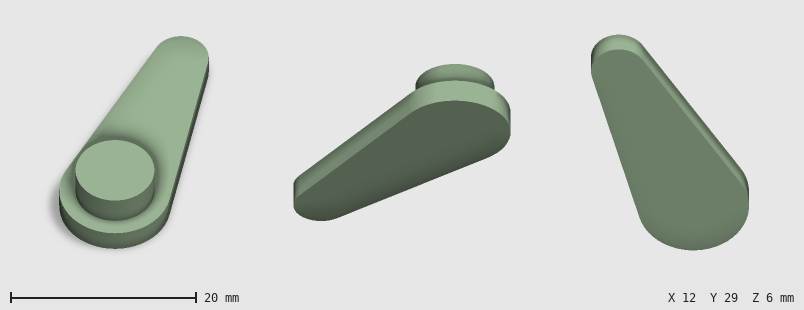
import cadquery as cq
import math

total_length = 29.0
hub_diameter = 12.0
tip_diameter = 6.0
plate_thickness = 2.6
boss_diameter = 8.5
total_height = 6.0

hub_radius = hub_diameter / 2
tip_radius = tip_diameter / 2
centre_distance = total_length - hub_radius - tip_radius
boss_height = total_height - plate_thickness

flank_angle = math.asin((hub_radius - tip_radius) / centre_distance)


def flank_point(radius, centre_y, side):
    """Tangent point of a flank on a round end; side is +1 (right) or -1 (left)."""
    x = side * radius * math.cos(flank_angle)
    y = centre_y + radius * math.sin(flank_angle)
    return (x, y)


def make_plate():
    """Tapered plate with the large round end centred on the origin."""
    return (
        cq.Workplane("XY")
        .moveTo(*flank_point(hub_radius, 0, 1))
        .lineTo(*flank_point(tip_radius, centre_distance, 1))
        .threePointArc(
            (0, centre_distance + tip_radius),
            flank_point(tip_radius, centre_distance, -1),
        )
        .lineTo(*flank_point(hub_radius, 0, -1))
        .threePointArc((0, -hub_radius), flank_point(hub_radius, 0, 1))
        .close()
        .extrude(plate_thickness)
    )


def make_boss():
    """Round boss standing on the plate, concentric with the large end."""
    return (
        cq.Workplane("XY")
        .workplane(offset=plate_thickness)
        .circle(boss_diameter / 2)
        .extrude(boss_height)
    )


result = make_plate().union(make_boss())